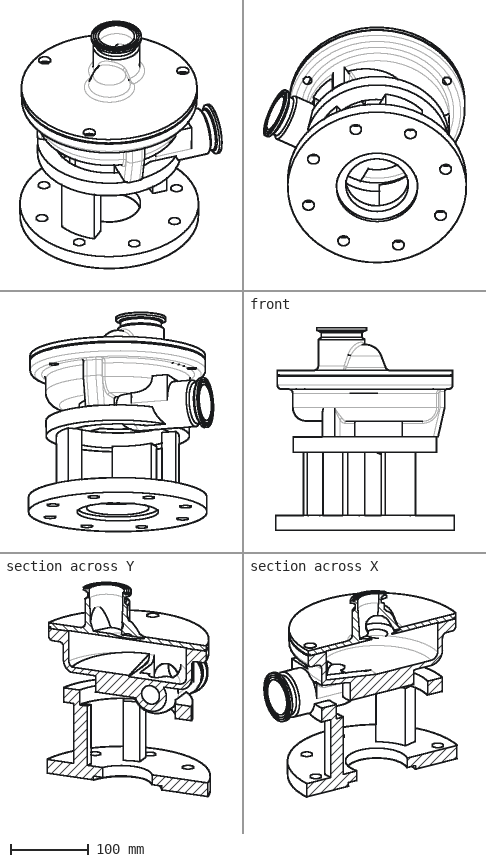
import cadquery as cq
import math


TOTAL_HEIGHT = 261.2
BASE_TOP = 19.3
RING_BOTTOM = 100.3
RING_TOP = 120.5
BOWL_BOTTOM = 140.8
FLANGE_BOTTOM = 181.8
JOINT_Z = 198.8
COVER_TOP = 206.0

SELECT_MARGIN = 1.3

BASE_DIAMETER = 230.0
BASE_RADIUS = BASE_DIAMETER / 2
BASE_BORE_RADIUS = 40.2
BASE_RECESS_RADIUS = 52.2
BASE_RECESS_DEPTH = 5.2
BASE_BOLT_CIRCLE = 92.5
BASE_BOLT_RADIUS = 7.3
BASE_BOLT_COUNT = 8
RING_RADIUS = 92.5
RING_BORE_RADIUS = 70.3
POST_OUTER_RADIUS = 79.1
POST_INNER_RADIUS = 60.0
POST_ANGLES = [
    (160.3, 199.7, 153.7, 206.3),
    (90.0, 111.3, 90.0, 111.3),
    (-70.9, -34.4, -69.7, -30.7),
]

FLANGE_RADIUS = 113.0
FLANGE_EDGE_FILLET = 5.7
FLANGE_NECK_FILLET = 5.5
BOWL_RADIUS = 93.0
BOWL_FILLET = 17.5
WALL = 7.8
HUB_RADIUS = 50.0
RIB_WIDTH = 25.0
RIB_EDGE_FILLET = 6.3
RIB_FOOT_FILLET = 2.5
FILLETED_RIB_FACES = [(0, -1), (0, 1), (120, -1), (120, 1), (240, 1)]
VOLUTE_RAMP_START_Y = 7.8
VOLUTE_RAMP_SLOPE = 0.13
RIB_TOP = BOWL_BOTTOM + BOWL_FILLET
LEG_ANGLES = [120, 240]
WIDE_RIB_FOOT = 94.3
WIDE_RIB_REACH = 103.0

COVER_BOLT_CIRCLE = 101.0
COVER_BOLT_ANGLES = [90, 215, 325]
COVER_BOLT_RADIUS = 7.5
CASING_BOLT_RADIUS = 5.5
RIM_GAP = 1.3
RIM_GAP_DEPTH = 3.0

PIPE_RADIUS = 30.0
PORT_BORE_RADIUS = 23.2
FERRULE_LENGTH = 12.8
SHOULDER_LENGTH = 2.5
NECK_RADIUS = 26.5
FLARE_RADIUS = 28.0
CLAMP_RADIUS = 32.0
CLAMP_THICKNESS = 3.5
FLARE_LENGTH = 1.8
NECK_ROUND = 1.5
GROOVE_RADIUS = 28.0
GROOVE_SECTION_RADIUS = 1.3

INLET_X = -30.0
INLET_Y = 21.0
DOME_RADIUS = 22.5
DOME_CENTER_Z = 217.0
DOME_HALF_ANGLE = 21.0
PORT_WALL = PIPE_RADIUS - PORT_BORE_RADIUS
COVER_FOOT_FILLET = 6.0
DOME_PIPE_FILLET = 3.5
PASSAGE_FLOOR_Z = 203.7
FUNNEL_TOP_RADIUS = 31.3
FUNNEL_BOTTOM_RADIUS = 13.8
RAMP_TOP_Z = 235.0
INLET_FOOT_RADIUS = 21.5
RAMP_FOOT_OFFSET = 14.5

DISCHARGE_X = 32.5
DISCHARGE_Z = 127.7
OVERALL_DEPTH = 246.0
DISCHARGE_FACE_Y = OVERALL_DEPTH - BASE_RADIUS
DISCHARGE_INNER_Y = 40.5
THROAT_END_Y = 89.9
THROAT_TOP = 161.2


def cylinder(radius, bottom, top):
    return cq.Workplane("XY", origin=(0, 0, bottom)).circle(radius).extrude(top - bottom)


def polar_point(radius, angle):
    return (radius * math.cos(math.radians(angle)), radius * math.sin(math.radians(angle)))


def holes_on_circle(circle_radius, angles, hole_radius, bottom, top):
    points = [polar_point(circle_radius, angle) for angle in angles]
    plane = cq.Workplane("XY", origin=(0, 0, bottom))
    return plane.pushPoints(points).circle(hole_radius).extrude(top - bottom)


def port_pipe(length):
    """Solid pipe along +Z from 0 to its clamp face at the given length."""
    neck_start = length - FERRULE_LENGTH
    clamp_start = length - CLAMP_THICKNESS
    flare_start = clamp_start - FLARE_LENGTH
    body = (
        cq.Workplane("XZ")
        .moveTo(0, 0)
        .lineTo(PIPE_RADIUS, 0)
        .lineTo(PIPE_RADIUS, neck_start - SHOULDER_LENGTH)
        .lineTo(NECK_RADIUS, neck_start)
        .lineTo(NECK_RADIUS, flare_start - NECK_ROUND)
        .lineTo(FLARE_RADIUS, flare_start)
        .lineTo(CLAMP_RADIUS, clamp_start)
        .lineTo(CLAMP_RADIUS, length)
        .lineTo(0, length)
        .close()
        .revolve(360, (0, 0, 0), (0, 1, 0))
    )
    groove = cq.Workplane(cq.Solid.makeTorus(GROOVE_RADIUS, GROOVE_SECTION_RADIUS, cq.Vector(0, 0, length)))
    return body.cut(groove)


def post(outer_start, outer_end, inner_start, inner_end):
    outer_middle = (outer_start + outer_end) / 2
    inner_middle = (inner_start + inner_end) / 2
    return (
        cq.Workplane("XY", origin=(0, 0, BASE_TOP))
        .moveTo(*polar_point(POST_OUTER_RADIUS, outer_start))
        .threePointArc(
            polar_point(POST_OUTER_RADIUS, outer_middle), polar_point(POST_OUTER_RADIUS, outer_end)
        )
        .lineTo(*polar_point(POST_INNER_RADIUS, inner_end))
        .threePointArc(
            polar_point(POST_INNER_RADIUS, inner_middle), polar_point(POST_INNER_RADIUS, inner_start)
        )
        .close()
        .extrude(RING_BOTTOM - BASE_TOP)
    )


def mounting_frame():
    bolt_angles = [i * 360 / BASE_BOLT_COUNT for i in range(BASE_BOLT_COUNT)]
    base = (
        cylinder(BASE_RADIUS, 0, BASE_TOP)
        .cut(cylinder(BASE_BORE_RADIUS, 0, BASE_TOP))
        .cut(cylinder(BASE_RECESS_RADIUS, 0, BASE_RECESS_DEPTH))
        .cut(holes_on_circle(BASE_BOLT_CIRCLE, bolt_angles, BASE_BOLT_RADIUS, 0, BASE_TOP))
    )
    ring = cylinder(RING_RADIUS, RING_BOTTOM, RING_TOP).cut(
        cylinder(RING_BORE_RADIUS, RING_BOTTOM, RING_TOP)
    )
    frame = base.union(ring)
    for angles in POST_ANGLES:
        frame = frame.union(post(*angles))
    return frame


def leg(angle):
    """Straight radial rib whose outer end is flush with the bowl wall."""
    rib = (
        cq.Workplane("XY", origin=(0, 0, RING_TOP))
        .rect(2 * BOWL_RADIUS, RIB_WIDTH)
        .extrude(RIB_TOP - RING_TOP)
        .edges("|Z and >X")
        .fillet(RIB_EDGE_FILLET)
        .intersect(cylinder(BOWL_RADIUS, RING_TOP, RIB_TOP))
    )
    outer_half = cq.Workplane("XY").box(
        BOWL_RADIUS, RIB_WIDTH, TOTAL_HEIGHT, centered=(False, True, False)
    )
    return rib.intersect(outer_half).rotate((0, 0, 0), (0, 0, 1), angle)


def wide_rib():
    """Rib towards +X that slopes outwards past the bowl and runs up to the flange."""
    return (
        cq.Workplane("XZ", origin=(0, RIB_WIDTH / 2, 0))
        .moveTo(0, RING_TOP)
        .lineTo(WIDE_RIB_FOOT, RING_TOP)
        .lineTo(WIDE_RIB_REACH, RIB_TOP)
        .lineTo(WIDE_RIB_REACH, FLANGE_BOTTOM)
        .lineTo(0, FLANGE_BOTTOM)
        .close()
        .extrude(RIB_WIDTH)
        .edges(cq.selectors.BoxSelector(
            (WIDE_RIB_FOOT, -RIB_WIDTH, RING_TOP + SELECT_MARGIN),
            (WIDE_RIB_REACH + SELECT_MARGIN, RIB_WIDTH, FLANGE_BOTTOM - SELECT_MARGIN),
        ))
        .edges("not |Y")
        .fillet(RIB_EDGE_FILLET)
    )


def bowl():
    arc = math.sqrt(0.5)
    neck_z = FLANGE_BOTTOM - FLANGE_NECK_FILLET
    neck_radius = BOWL_RADIUS + FLANGE_NECK_FILLET
    edge_radius = FLANGE_RADIUS - FLANGE_EDGE_FILLET
    edge_z = FLANGE_BOTTOM + FLANGE_EDGE_FILLET
    floor_radius = BOWL_RADIUS - BOWL_FILLET
    return (
        cq.Workplane("XZ")
        .moveTo(0, BOWL_BOTTOM)
        .lineTo(floor_radius, BOWL_BOTTOM)
        .threePointArc(
            (floor_radius + BOWL_FILLET * arc, RIB_TOP - BOWL_FILLET * arc), (BOWL_RADIUS, RIB_TOP)
        )
        .lineTo(BOWL_RADIUS, neck_z)
        .threePointArc(
            (neck_radius - FLANGE_NECK_FILLET * arc, neck_z + FLANGE_NECK_FILLET * arc),
            (neck_radius, FLANGE_BOTTOM),
        )
        .lineTo(edge_radius, FLANGE_BOTTOM)
        .threePointArc(
            (edge_radius + FLANGE_EDGE_FILLET * arc, edge_z - FLANGE_EDGE_FILLET * arc),
            (FLANGE_RADIUS, edge_z),
        )
        .lineTo(FLANGE_RADIUS, JOINT_Z)
        .lineTo(0, JOINT_Z)
        .close()
        .revolve(360, (0, 0, 0), (0, 1, 0))
    )


def volute_ramp(floor_z):
    """Wedge under the rising stretch of the volute floor, from its start towards the discharge."""
    run = BOWL_RADIUS - VOLUTE_RAMP_START_Y
    return (
        cq.Workplane("YZ", origin=(-BOWL_RADIUS, 0, 0))
        .moveTo(VOLUTE_RAMP_START_Y, floor_z)
        .lineTo(BOWL_RADIUS, floor_z)
        .lineTo(BOWL_RADIUS, floor_z + VOLUTE_RAMP_SLOPE * run)
        .close()
        .extrude(BOWL_RADIUS + DISCHARGE_X - PIPE_RADIUS)
    )


def discharge_channel(radius, top):
    """Round-bottomed channel from the discharge pipe up into the bowl."""
    inner_end = cq.Workplane("XY", origin=(DISCHARGE_X, DISCHARGE_INNER_Y, DISCHARGE_Z)).sphere(radius)
    trough = cq.Workplane("XZ", origin=(DISCHARGE_X, DISCHARGE_INNER_Y, DISCHARGE_Z)).circle(radius)
    trough = trough.extrude(-(THROAT_END_Y - DISCHARGE_INNER_Y))
    throat = cq.Workplane("XY", origin=(DISCHARGE_X, DISCHARGE_INNER_Y, DISCHARGE_Z)).box(
        2 * radius, THROAT_END_Y - DISCHARGE_INNER_Y, top - DISCHARGE_Z, centered=(True, False, False)
    )
    return inner_end.union(trough).union(throat)


def discharge_pipe():
    pipe = port_pipe(DISCHARGE_FACE_Y - DISCHARGE_INNER_Y)
    pipe = pipe.rotate((0, 0, 0), (1, 0, 0), -90)
    return pipe.translate((DISCHARGE_X, DISCHARGE_INNER_Y, DISCHARGE_Z))


def casing_cavity():
    radius = BOWL_RADIUS - WALL
    floor = BOWL_BOTTOM + WALL
    chamber = cylinder(radius, floor, JOINT_Z).faces("<Z").edges().fillet(BOWL_FILLET - WALL)
    throat_top = floor + BOWL_FILLET - WALL
    channel = discharge_channel(PORT_BORE_RADIUS, throat_top).intersect(cylinder(radius, 0, throat_top))
    bore = (
        cq.Workplane("XZ", origin=(DISCHARGE_X, DISCHARGE_INNER_Y, DISCHARGE_Z))
        .circle(PORT_BORE_RADIUS)
        .extrude(-(DISCHARGE_FACE_Y - DISCHARGE_INNER_Y))
    )
    return chamber.cut(volute_ramp(floor)).union(channel).union(bore)


def rib_foot_edge(ribbed_bowl, angle, side):
    """Straight edge where one face of a rib meets the floor of the bowl."""
    along = polar_point((HUB_RADIUS + BOWL_RADIUS - BOWL_FILLET) / 2, angle)
    across = polar_point(RIB_WIDTH / 2, angle + 90 * side)
    middle = (along[0] + across[0], along[1] + across[1], BOWL_BOTTOM)
    return ribbed_bowl.edges("%LINE").edges(cq.selectors.NearestToPointSelector(middle)).val()


def make_ribbed_bowl():
    hub = cylinder(HUB_RADIUS, RING_TOP, RIB_TOP)
    ribbed_bowl = bowl().cut(volute_ramp(BOWL_BOTTOM)).union(hub).union(wide_rib())
    for angle in LEG_ANGLES:
        ribbed_bowl = ribbed_bowl.union(leg(angle))
    foot_edges = [rib_foot_edge(ribbed_bowl, angle, side) for angle, side in FILLETED_RIB_FACES]
    return ribbed_bowl.newObject(foot_edges).fillet(RIB_FOOT_FILLET)


def make_casing():
    casing = (
        make_ribbed_bowl()
        .union(mounting_frame())
        .union(discharge_channel(PIPE_RADIUS, THROAT_TOP))
        .union(discharge_pipe())
    )
    bolts = holes_on_circle(
        COVER_BOLT_CIRCLE, COVER_BOLT_ANGLES, CASING_BOLT_RADIUS, FLANGE_BOTTOM, JOINT_Z
    )
    return casing.cut(casing_cavity()).cut(bolts)


def dome(radius, foot_z):
    """Spherical cap that runs tangentially into a cone widening down to foot_z."""
    angle = math.radians(DOME_HALF_ANGLE)
    tangent_radius = radius * math.cos(angle)
    tangent_z = DOME_CENTER_Z + radius * math.sin(angle)
    foot_radius = tangent_radius + (tangent_z - foot_z) * math.tan(angle)
    middle = (angle + math.pi / 2) / 2
    return (
        cq.Workplane("XZ")
        .moveTo(0, foot_z)
        .lineTo(foot_radius, foot_z)
        .lineTo(tangent_radius, tangent_z)
        .threePointArc(
            (radius * math.cos(middle), DOME_CENTER_Z + radius * math.sin(middle)),
            (0, DOME_CENTER_Z + radius),
        )
        .close()
        .revolve(360, (0, 0, 0), (0, 1, 0))
    )


def suction_passage():
    inner_dome = dome(DOME_RADIUS - PORT_WALL, PASSAGE_FLOOR_Z)
    distance = math.hypot(INLET_X, INLET_Y)
    direction = math.degrees(math.atan2(INLET_Y, INLET_X))
    bore = (
        cq.Workplane("XZ")
        .moveTo(0, PASSAGE_FLOOR_Z)
        .lineTo(INLET_FOOT_RADIUS, PASSAGE_FLOOR_Z)
        .lineTo(PORT_BORE_RADIUS, TOTAL_HEIGHT - FERRULE_LENGTH)
        .lineTo(PORT_BORE_RADIUS, TOTAL_HEIGHT)
        .lineTo(0, TOTAL_HEIGHT)
        .close()
        .revolve(360, (0, 0, 0), (0, 1, 0))
    )
    ramp = (
        cq.Workplane("XZ", origin=(0, PIPE_RADIUS, 0))
        .moveTo(RAMP_FOOT_OFFSET, PASSAGE_FLOOR_Z)
        .lineTo(PORT_BORE_RADIUS, PASSAGE_FLOOR_Z)
        .lineTo(PORT_BORE_RADIUS, RAMP_TOP_Z)
        .close()
        .extrude(2 * PIPE_RADIUS)
    )
    inlet = bore.cut(ramp).translate((distance, 0, 0))
    channel = (
        cq.Workplane("YZ", origin=(0, 0, DOME_CENTER_Z))
        .circle(DOME_CENTER_Z - PASSAGE_FLOOR_Z)
        .extrude(distance)
    )
    passage = inlet.union(channel).rotate((0, 0, 0), (0, 0, 1), direction)
    funnel = (
        cq.Workplane("XY", origin=(0, 0, JOINT_Z))
        .circle(FUNNEL_BOTTOM_RADIUS)
        .workplane(offset=PASSAGE_FLOOR_Z - JOINT_Z)
        .circle(FUNNEL_TOP_RADIUS)
        .loft()
    )
    return passage.union(inner_dome).union(funnel)


def make_cover():
    pipe = port_pipe(TOTAL_HEIGHT - JOINT_Z).translate((INLET_X, INLET_Y, JOINT_Z))
    dome_and_pipe = pipe.union(dome(DOME_RADIUS, JOINT_Z))
    plate = cylinder(FLANGE_RADIUS, JOINT_Z, COVER_TOP)
    rim_gap = cylinder(FLANGE_RADIUS, JOINT_Z, JOINT_Z + RIM_GAP).cut(
        cylinder(FLANGE_RADIUS - RIM_GAP_DEPTH, JOINT_Z, JOINT_Z + RIM_GAP)
    )
    cover = plate.union(dome_and_pipe)
    reach = FLANGE_RADIUS - SELECT_MARGIN
    foot_edges = cq.selectors.BoxSelector(
        (-reach, -reach, COVER_TOP - SELECT_MARGIN),
        (reach, reach, COVER_TOP + SELECT_MARGIN),
        boundingbox=True,
    )
    cover = cover.edges(foot_edges).fillet(COVER_FOOT_FILLET)
    pipe_dome_edges = cq.selectors.BoxSelector(
        (INLET_X, -PIPE_RADIUS, COVER_TOP + SELECT_MARGIN),
        (SELECT_MARGIN, PIPE_RADIUS, DOME_CENTER_Z + DOME_RADIUS),
    )
    cover = cover.edges(pipe_dome_edges).fillet(DOME_PIPE_FILLET)
    bolts = holes_on_circle(COVER_BOLT_CIRCLE, COVER_BOLT_ANGLES, COVER_BOLT_RADIUS, JOINT_Z, COVER_TOP)
    return cover.cut(rim_gap).cut(bolts).cut(suction_passage())


casing = make_casing()
cover = make_cover()
result = cq.Compound.makeCompound([casing.val(), cover.val()])